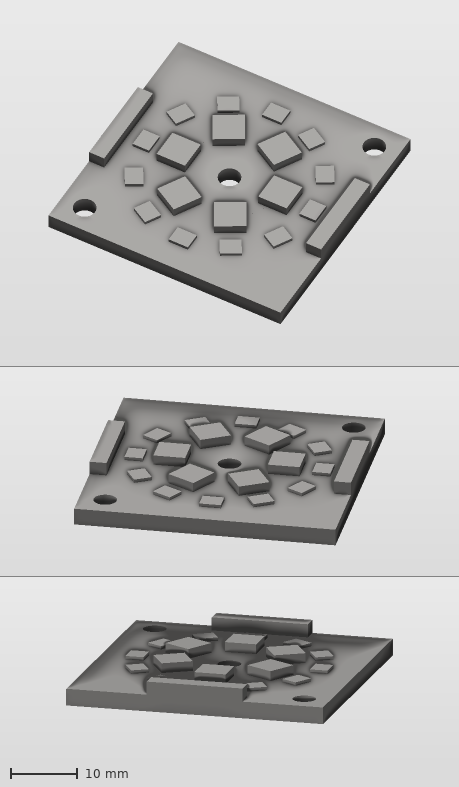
import cadquery as cq

plate_side = 40.0
plate_thickness = 2.6
hole_diameter = 3.55
corner_hole_offset = 16.0

bar_width = 2.6
bar_length = 15.0
bar_rise = 2.05
bar_seat_depth = 1.05

ring_outer_diameter = 31.6
ring_inner_diameter = 25.6
ring_thickness = 1.0
pad_count = 12
pad_radial_size = 2.8
pad_width = 3.3
pad_rise = 0.5
pad_circle_radius = 14.35

hub_diameter = 16.1
block_count = 6
block_side = 4.9
block_rise = 1.5
block_circle_radius = 8.75


def make_bosses(count, circle_radius, radial_size, width, bottom, top):
    """Rectangular bosses evenly spaced around the centre, between two heights."""
    return (
        cq.Workplane("XY", origin=(0, 0, bottom))
        .polarArray(circle_radius, 0, 360, count)
        .rect(radial_size, width)
        .extrude(top - bottom)
    )


def make_bar(side):
    """Bar flush with the plate's outer face; side is -1 for the -X edge and +1 for the +X edge."""
    center_x = side * (plate_side - bar_width) / 2
    return (
        cq.Workplane("XY", origin=(center_x, 0, plate_thickness - bar_seat_depth))
        .rect(bar_width, bar_length)
        .extrude(bar_seat_depth + bar_rise)
    )


def make_pad_ring():
    """Flat ring flush with the plate's underside, carrying pads that stand just above its top."""
    ring = (
        cq.Workplane("XY")
        .circle(ring_outer_diameter / 2)
        .circle(ring_inner_diameter / 2)
        .extrude(ring_thickness)
    )
    pads = make_bosses(
        pad_count, pad_circle_radius, pad_radial_size, pad_width,
        ring_thickness, plate_thickness + pad_rise,
    )
    return ring.union(pads)


def make_hub():
    """Disc as thick as the plate, with a centre hole and blocks that overhang the plate's top."""
    disc = (
        cq.Workplane("XY")
        .circle(hub_diameter / 2)
        .circle(hole_diameter / 2)
        .extrude(plate_thickness)
    )
    blocks = make_bosses(
        block_count, block_circle_radius, block_side, block_side,
        plate_thickness, plate_thickness + block_rise,
    )
    return disc.union(blocks)


def make_plate(seated_bodies):
    """Square plate with two corner holes, a bore for the hub and a recess for each seated body."""
    corner_hole_centers = [
        (-corner_hole_offset, -corner_hole_offset),
        (corner_hole_offset, corner_hole_offset),
    ]
    plate = cq.Workplane("XY").rect(plate_side, plate_side).extrude(plate_thickness)
    corner_holes = (
        cq.Workplane("XY")
        .pushPoints(corner_hole_centers)
        .circle(hole_diameter / 2)
        .extrude(plate_thickness)
    )
    hub_bore = cq.Workplane("XY").circle(hub_diameter / 2).extrude(plate_thickness)
    plate = plate.cut(corner_holes).cut(hub_bore)
    for body in seated_bodies:
        plate = plate.cut(body)
    return plate


bars = [make_bar(side) for side in (-1, 1)]
pad_ring = make_pad_ring()
hub = make_hub()
plate = make_plate([pad_ring, *bars])

result = cq.Compound.makeCompound(
    [
        plate.solids().val(),
        pad_ring.solids().val(),
        hub.solids().val(),
        *[bar.val() for bar in bars],
    ]
)